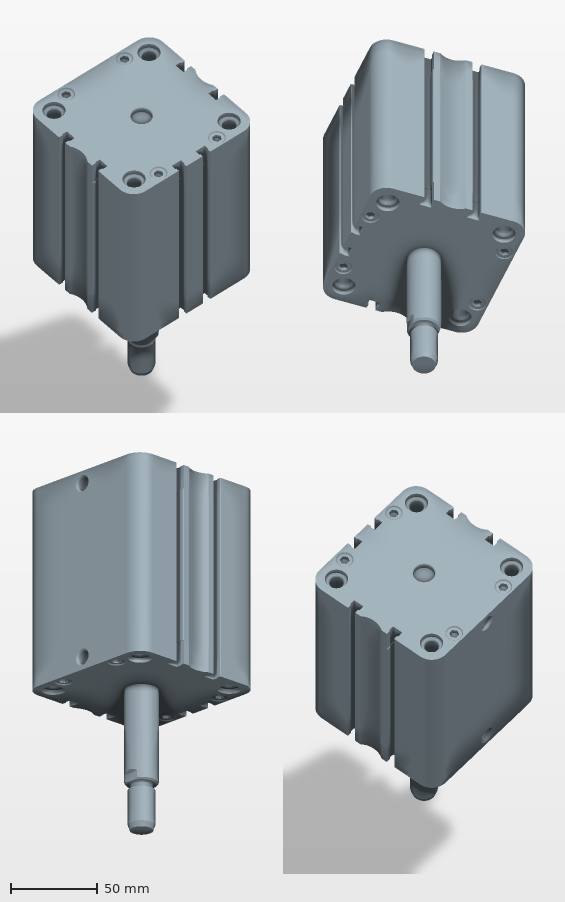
import cadquery as cq
import math


body_side = 95.5
body_height = 123.6
corner_radius = 10.3
cap_height = 14.8
total_length = 211.0

cap_slot_neck_width = 5.5
cap_slot_pocket_width = 7.0
cap_slot_offset = 14.8
barrel_slot_neck_width = 5.0
barrel_slot_pocket_width = 6.5
barrel_slot_offset = 15.0
barrel_slot_floor_rise = 0.2
face_slot_lip = 3.0
face_slot_depth = 6.5
side_slot_offset = 9.0
side_slot_neck_width = 5.7
side_slot_pocket_width = 7.0
side_slot_lip = 2.3
side_slot_depth = 5.7
slot_rim_radius = 0.6

channel_half_width = 8.0
channel_depth = 2.5
channel_rim_radius = 1.5

mount_offset = 36.0
mount_counterbore_diameter = 13.5
mount_counterbore_depth = 3.0
mount_chamfer_diameter = 9.7
mount_hole_diameter = 8.5

screw_x = 41.5
screw_y = 22.2
screw_recess_diameter = 10.3
screw_head_diameter = 9.3
screw_head_recess = 0.6
socket_across_flats = 5.0
socket_depth = 3.2

port_edge_distance = 7.8
port_chamfer_diameter = 10.3
port_diameter = 8.7
port_depth = 10.5
throat_diameter = 5.0
throat_depth = 6.3

centring_diameter = 13.5
centring_floor_diameter = 12.7
centring_depth = 3.4

rod_diameter = 20.0
shoulder_distance = 58.9
shoulder_chamfer = 1.0
flat_start_distance = 52.0
across_flats = 17.0
flat_run_out = 1.5
neck_diameter = 13.5
neck_length = 3.5
neck_flare = 0.6
thread_diameter = 16.0
tip_diameter = 13.7
tip_chamfer_length = 3.4

edge_tolerance = 0.1

half_side = body_side / 2
barrel_height = body_height - 2 * cap_height
channel_radius = (channel_half_width**2 + channel_depth**2) / (2 * channel_depth)
rod_length = total_length - body_height


def t_slot(neck_width, pocket_width, lip, depth, height):
    """T-slot opening at Y = 0 and running into -Y, centred on X = 0."""
    neck = cq.Workplane("XY").rect(neck_width, 2 * depth).extrude(height)
    pocket = (
        cq.Workplane("XY")
        .center(0, -(lip + depth) / 2)
        .rect(pocket_width, depth - lip)
        .extrude(height)
    )
    return neck.union(pocket)


def profile(height, neck_width, pocket_width, slot_offset, floor_rise):
    """Extruded body section: rounded square with T-slots and round channels."""
    block = cq.Workplane("XY").rect(body_side, body_side).extrude(height)
    block = block.edges("|Z").fillet(corner_radius)
    face_depth = face_slot_depth - floor_rise
    face_slot = t_slot(neck_width, pocket_width, face_slot_lip, face_depth, height)
    channel = (
        cq.Workplane("XY")
        .center(0, half_side - channel_depth + channel_radius)
        .circle(channel_radius)
        .extrude(height)
    )
    for turn in (0, 180):
        cutters = [channel]
        for x in (-slot_offset, slot_offset):
            cutters.append(face_slot.translate((x, half_side, 0)))
        for cutter in cutters:
            block = block.cut(cutter.rotate((0, 0, 0), (0, 0, 1), turn))
    side_depth = side_slot_depth - floor_rise
    side_slot = t_slot(
        side_slot_neck_width, side_slot_pocket_width, side_slot_lip, side_depth, height
    )
    side_slot = side_slot.rotate((0, 0, 0), (0, 0, 1), -90)
    for y in (-side_slot_offset, side_slot_offset):
        block = block.cut(side_slot.translate((half_side, y, 0)))
    return block


def round_rims(block, distance, radius):
    """Fillet the vertical edges that lie on the Y faces at the given distance from X = 0."""
    for x in (-distance, distance):
        for y in (-half_side, half_side):
            box = cq.selectors.BoxSelector(
                (x - edge_tolerance, y - edge_tolerance, -total_length),
                (x + edge_tolerance, y + edge_tolerance, total_length),
            )
            block = block.edges(box).edges("|Z").fillet(radius)
    return block


def mount_hole():
    """Counterbored, chamfered hole going down from Z = 0 through a cap."""
    chamfer = (mount_chamfer_diameter - mount_hole_diameter) / 2
    hole_radius = mount_hole_diameter / 2
    outline = [
        (0, 0),
        (mount_counterbore_diameter / 2, 0),
        (mount_counterbore_diameter / 2, -mount_counterbore_depth),
        (mount_chamfer_diameter / 2, -mount_counterbore_depth),
        (hole_radius, -mount_counterbore_depth - chamfer),
        (hole_radius, -cap_height),
        (0, -cap_height),
    ]
    return cq.Workplane("XZ").polyline(outline).close().revolve(360, (0, 0), (0, 1))


def screw_recess():
    """Tapered head recess and hexagon socket going down from Z = 0, socket corners along Y."""
    head = (
        cq.Workplane("XY")
        .circle(screw_recess_diameter / 2)
        .workplane(offset=-screw_head_recess)
        .circle(screw_head_diameter / 2)
        .loft()
    )
    across_corners = socket_across_flats / math.cos(math.pi / 6)
    socket = cq.Workplane("XY").polygon(6, across_corners).extrude(-socket_depth)
    return head.union(socket.rotate((0, 0, 0), (0, 0, 1), 90))


def port():
    """Chamfered air port running along +X from X = 0."""
    chamfer = (port_chamfer_diameter - port_diameter) / 2
    bore = cq.Workplane("YZ").circle(port_diameter / 2).extrude(port_depth)
    mouth = (
        cq.Workplane("YZ")
        .circle(port_chamfer_diameter / 2)
        .workplane(offset=chamfer)
        .circle(port_diameter / 2)
        .loft()
    )
    return bore.union(mouth)


def cap_blank():
    """Cap with its outer face up at Z = 0, with everything common to both caps."""
    cap = profile(cap_height, cap_slot_neck_width, cap_slot_pocket_width, cap_slot_offset, 0)
    cap = round_rims(cap, cap_slot_offset + cap_slot_neck_width / 2, slot_rim_radius)
    cap = cap.translate((0, 0, -cap_height))
    for x in (-1, 1):
        for y in (-1, 1):
            cap = cap.cut(mount_hole().translate((x * mount_offset, y * mount_offset, 0)))
            cap = cap.cut(screw_recess().translate((x * screw_x, y * screw_y, 0)))
    return cap.cut(port().translate((-half_side, 0, -port_edge_distance)))


def make_upper_cap():
    """Closed cap with a centring recess and a throat at the end of its port."""
    chamfer = (centring_diameter - centring_floor_diameter) / 2
    recess = (
        cq.Workplane("XY")
        .circle(centring_floor_diameter / 2)
        .extrude(-centring_depth)
    )
    mouth = (
        cq.Workplane("XY")
        .circle(centring_diameter / 2)
        .workplane(offset=-chamfer)
        .circle(centring_floor_diameter / 2)
        .loft()
    )
    throat = (
        cq.Workplane("YZ", origin=(port_depth - half_side, 0, -port_edge_distance))
        .circle(throat_diameter / 2)
        .extrude(throat_depth)
    )
    cap = cap_blank().cut(recess).cut(mouth).cut(throat)
    return cap.translate((0, 0, body_height))


def make_lower_cap():
    """Mirrored cap with a through hole for the rod."""
    rod_hole = cq.Workplane("XY").circle(rod_diameter / 2).extrude(cap_height)
    return cap_blank().mirror("XY").cut(rod_hole)


def make_barrel():
    """Slotted barrel with rounded slot and channel rims."""
    barrel = profile(
        barrel_height,
        barrel_slot_neck_width,
        barrel_slot_pocket_width,
        barrel_slot_offset,
        barrel_slot_floor_rise,
    )
    for side in (-1, 1):
        rim = barrel_slot_offset + side * barrel_slot_neck_width / 2
        barrel = round_rims(barrel, rim, slot_rim_radius)
    barrel = round_rims(barrel, channel_half_width, channel_rim_radius)
    return barrel.translate((0, 0, cap_height))


def make_rod():
    """Rod with wrench flats, undercut neck and threaded end, reaching up to the barrel."""
    rod_radius = rod_diameter / 2
    neck_radius = neck_diameter / 2
    thread_radius = thread_diameter / 2
    thread_start = shoulder_distance + neck_length
    outline = [
        (0, cap_height),
        (rod_radius, cap_height),
        (rod_radius, shoulder_chamfer - shoulder_distance),
        (rod_radius - shoulder_chamfer, -shoulder_distance),
        (neck_radius + neck_flare, -shoulder_distance),
        (neck_radius, -shoulder_distance - neck_flare),
        (neck_radius, neck_flare - thread_start),
        (neck_radius + neck_flare, -thread_start),
        (thread_radius, -thread_start),
        (thread_radius, tip_chamfer_length - rod_length),
        (tip_diameter / 2, -rod_length),
        (0, -rod_length),
    ]
    rod = cq.Workplane("XZ").polyline(outline).close().revolve(360, (0, 0), (0, 1))
    flat = across_flats / 2
    flat_cut = [
        (flat, -shoulder_distance),
        (flat, -flat_start_distance - flat_run_out),
        (flat + flat_run_out, -flat_start_distance),
        (rod_diameter, -flat_start_distance),
        (rod_diameter, -shoulder_distance),
    ]
    cutter = cq.Workplane("XZ").polyline(flat_cut).close().extrude(rod_radius, both=True)
    return rod.cut(cutter).cut(cutter.mirror("YZ"))


upper_cap = make_upper_cap()
barrel = make_barrel()
lower_cap = make_lower_cap()
rod = make_rod()

result = cq.Compound.makeCompound([upper_cap.val(), barrel.val(), lower_cap.val(), rod.val()])